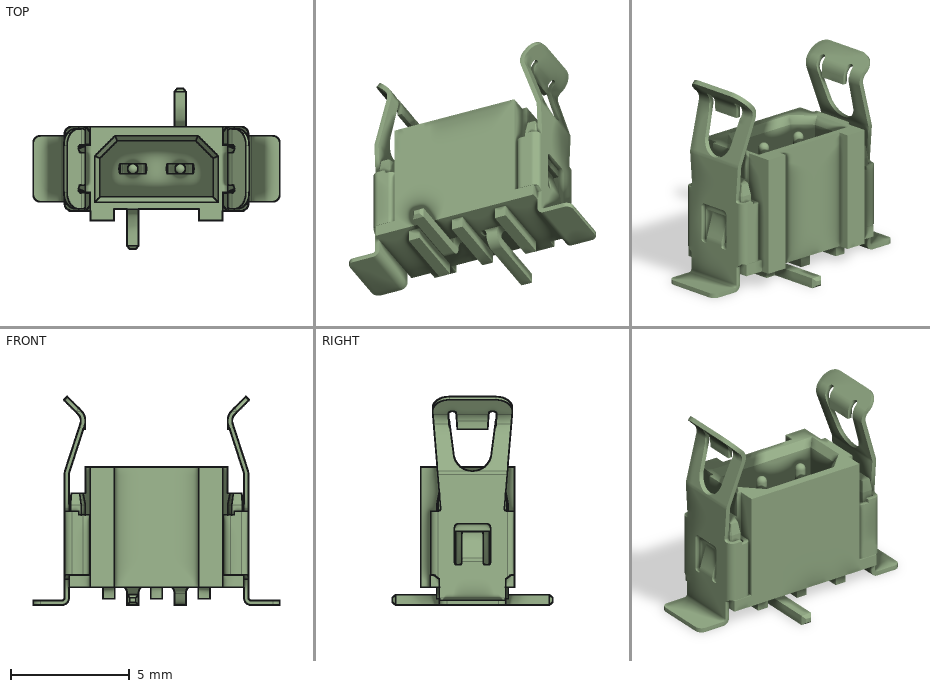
import cadquery as cq
import math


foot_reach = 5.2
total_height = 8.8
total_depth = 6.78

sheet = 0.2
clip_half_length = 3.88
bend_inside = 0.1
bend_mid = bend_inside + sheet / 2
foot_half_width = 1.4
foot_corner_radius = 0.31
lean_angle = 18.0
head_angle = 45.0
knee_z = 5.58
knee_radius = 0.41
neck_z = 7.91
neck_radius = 0.5
head_half_width = 1.69
head_corner_radius = 0.7
flare_half_width = 1.34
flare_end_z = 8.17
wing_fillet = 0.1

slot_top_z = 8.04
slot_length = 0.31
slot_outer = 1.01
slot_inner = 0.69
opening_half_width = 0.78
opening_side_z = 6.3
opening_bottom_z = 5.65
tab_bottom_z = 7.41
tab_bottom_half_width = 0.65

wing_half_width = 1.77
wing_bottom_z = 1.27
wing_top_z = 3.97
hook_outer_x = 2.81
hook_tip_y = 1.03
hook_top_z = 3.81
hook_step_x = 3.28
wing_root_z = 1.09
wing_slope_y = 1.63

window_half_width = 0.76
window_bottom_z = 1.71
window_top_z = 3.44
window_corner_radius = 0.18
window_slot_radius = 0.1
tongue_width = 0.9
tongue_root_z = 1.84
tongue_bend_z = 1.92
tongue_tip_z = 3.06

base_z = 0.75
top_z = 5.83
back_y = 1.78
front_y = -1.7
body_half_length = 3.0
post_outer_x = 2.79
post_inner_x = 1.79
post_front_y = -2.19
notch_y = 0.99
ledge_top_z = 1.25
ledge_half_width = 1.78
side_half_length = clip_half_length - sheet
side_half_width = 1.51
side_corner = 0.06
side_back_x = 3.18
side_taper_z = 4.23
side_top_z = 4.73
side_taper_angle = 11.0
latch_half_width = 0.7
latch_top_z = 3.12
latch_depth = 0.41

cavity_half_length = 2.38
cavity_back_y = 1.18
cavity_front_y = -1.19
cavity_corner = 0.73
cavity_floor_z = 1.75
rim_offset = 0.22
rim_depth = 0.34

peg_pitch = 2.01
peg_width = 0.5
peg_half_depth = 1.51
peg_bottom_z = 0.26

pin_x = 1.0
pin_thickness = 0.44
tail_width = 0.5
tail_bend_outside = 0.51
tail_tip_length = 0.15
tail_tip_angle = 40.0
blade_half_width = 0.53
blade_shoulder_radius = 0.09
blade_bottom_z = 0.81
blade_flare_radius = blade_half_width - tail_width / 2
pin_top_z = 5.62
pin_slot_half_length = 0.57
pin_slot_half_width = pin_thickness / 2


def box(x_min, x_max, y_min, y_max, z_min, z_max):
    """Axis-aligned block between the given limits."""
    size = (x_max - x_min, y_max - y_min, z_max - z_min)
    return cq.Workplane("XY").box(*size, centered=False).translate((x_min, y_min, z_min))


def bent_path(plane, corners, radii):
    """Open path through the corners, each inner corner rounded with its own radius."""
    path = cq.Workplane(plane).moveTo(*corners[0])
    for before, corner, after, radius in zip(corners, corners[1:], corners[2:], radii):
        corner = cq.Vector(*corner)
        to_before = (cq.Vector(*before) - corner).normalized()
        to_after = (cq.Vector(*after) - corner).normalized()
        half_angle = to_before.getAngle(to_after) / 2
        tangent = radius / math.tan(half_angle)
        arc_depth = radius / math.sin(half_angle) - radius
        start = corner + to_before * tangent
        middle = corner + (to_before + to_after).normalized() * arc_depth
        end = corner + to_after * tangent
        path = path.lineTo(start.x, start.y)
        path = path.threePointArc((middle.x, middle.y), (end.x, end.y))
    return path.lineTo(*corners[-1])


def across_sheet(outline):
    """Prism along X over the whole clip, from an outline in Y and Z."""
    return outline.extrude(-foot_reach)


lean_slope = math.tan(math.radians(lean_angle))
wall_mid_x = -(clip_half_length - sheet / 2)
neck_x = wall_mid_x + (neck_z - knee_z) * lean_slope
head_tip_z = total_height - sheet / 2 * math.cos(math.radians(head_angle))
head_tip_x = neck_x - (head_tip_z - neck_z) * math.tan(math.radians(head_angle))
head_tip = (head_tip_x, head_tip_z)


def clip_strip():
    """Foot, wall, arms and head as one bent strip, trimmed to its outline."""
    corners = [
        (-foot_reach, sheet / 2),
        (wall_mid_x, sheet / 2),
        (wall_mid_x, knee_z),
        (neck_x, neck_z),
        head_tip,
    ]
    path = bent_path("XZ", corners, [bend_mid, knee_radius, neck_radius])
    section = cq.Workplane("YZ", origin=(-foot_reach, 0, sheet / 2)).rect(2 * head_half_width, sheet)
    strip = section.sweep(path)
    strip = strip.edges("|(1,0,1)").fillet(head_corner_radius)
    fillet_depth = wing_fillet * (1 - math.sqrt(0.5))
    fillet_middle = (flare_half_width + fillet_depth, wing_top_z + fillet_depth)
    flare_start = (flare_half_width, wing_top_z + wing_fillet)
    half = (
        cq.Workplane("YZ")
        .lineTo(foot_half_width, 0)
        .lineTo(foot_half_width, wing_top_z)
        .lineTo(flare_half_width + wing_fillet, wing_top_z)
        .threePointArc(fillet_middle, flare_start)
        .lineTo(head_half_width, flare_end_z)
        .lineTo(head_half_width, total_height)
        .lineTo(0, total_height)
        .close()
    )
    half = across_sheet(half)
    strip = strip.intersect(half.union(half.mirror("XZ")))
    return strip.edges("|Z and <X").fillet(foot_corner_radius)


def clip_opening():
    """U-shaped opening between the arms."""
    outline = (
        cq.Workplane("YZ")
        .moveTo(opening_half_width, opening_side_z)
        .lineTo(slot_outer, slot_top_z)
        .lineTo(-slot_outer, slot_top_z)
        .lineTo(-opening_half_width, opening_side_z)
        .threePointArc((0, opening_bottom_z), (opening_half_width, opening_side_z))
        .close()
    )
    return across_sheet(outline)


def clip_slots():
    """Slot on each side of the tab, square to the head, with its round end where the bend starts."""
    to_bend_axis = neck_radius / math.cos(math.radians((head_angle + lean_angle) / 2))
    bisector = math.radians((head_angle - lean_angle) / 2)
    bend_axis = (neck_x - to_bend_axis * math.cos(bisector), 0, neck_z - to_bend_axis * math.sin(bisector))
    slot_radius = (slot_outer - slot_inner) / 2
    slot_y = (slot_outer + slot_inner) / 2
    head_plane = cq.Plane(bend_axis, xDir=(0, 1, 0), normal=(1, 0, 1))
    return (
        cq.Workplane(head_plane)
        .pushPoints([(-slot_y, -slot_length / 2), (slot_y, -slot_length / 2)])
        .slot2D(slot_length + 2 * slot_radius, 2 * slot_radius, 90)
        .extrude(neck_radius + sheet)
    )


def clip_tab():
    """Short tab that hangs from the head between the arms, on the same bend as the neck."""
    neck_tangent = math.tan(math.radians((head_angle + lean_angle) / 2))
    tab_tangent = math.tan(math.radians(head_angle / 2))
    slide = neck_radius * (neck_tangent - tab_tangent)
    tab_x = neck_x - slide * math.sin(math.radians(head_angle))
    tab_bend_z = neck_z + slide * math.cos(math.radians(head_angle))
    path = bent_path("XZ", [(tab_x, tab_bottom_z), (tab_x, tab_bend_z), head_tip], [neck_radius])
    section = cq.Workplane("XY", origin=(tab_x, 0, tab_bottom_z)).rect(sheet, 2 * slot_inner)
    outline = cq.Workplane("YZ").polyline([
        (-tab_bottom_half_width, tab_bottom_z),
        (tab_bottom_half_width, tab_bottom_z),
        (slot_inner, slot_top_z),
        (slot_inner, flare_end_z),
        (-slot_inner, flare_end_z),
        (-slot_inner, slot_top_z),
    ]).close()
    tab = section.sweep(path).intersect(across_sheet(outline))
    return tab


def clip_wings():
    """Sides that wrap around the housing's side block and hook in behind it."""
    wing_mid_y = wing_half_width - sheet / 2
    hook_mid_x = -(hook_outer_x + sheet / 2)
    corners = [
        (hook_mid_x, -hook_tip_y),
        (hook_mid_x, -wing_mid_y),
        (wall_mid_x, -wing_mid_y),
        (wall_mid_x, wing_mid_y),
        (hook_mid_x, wing_mid_y),
        (hook_mid_x, hook_tip_y),
    ]
    height = wing_top_z - wing_root_z
    section_centre = (hook_mid_x, -hook_tip_y, wing_root_z + height / 2)
    path = bent_path(cq.Plane((0, 0, section_centre[2])), corners, [bend_mid] * 4)
    wings = cq.Workplane("XZ", origin=section_centre).rect(sheet, height).sweep(path)
    half = [
        (foot_half_width, wing_root_z),
        (wing_slope_y, wing_bottom_z),
        (wing_half_width, wing_bottom_z),
        (wing_half_width, wing_top_z),
    ]
    other_half = [(-y, z) for y, z in reversed(half)]
    wings = wings.intersect(across_sheet(cq.Workplane("YZ").polyline(half + other_half).close()))
    step = box(-hook_step_x, 0, -wing_half_width, wing_half_width, hook_top_z, wing_top_z)
    return wings.cut(step).cut(housing_ledge())


def clip_window():
    """Window in the wall around the tongue."""
    window = box(-clip_half_length, -side_half_length,
                 -window_half_width, window_half_width, window_bottom_z, window_top_z)
    window = window.edges("|X and >Z").fillet(window_corner_radius)
    root = box(-clip_half_length, -side_half_length,
               -tongue_width / 2, tongue_width / 2, window_bottom_z, tongue_root_z)
    return window.cut(root).edges("|X and <Z").fillet(window_slot_radius)


def clip_tongue():
    """Locking tongue bent in from the wall."""
    tip_x = wall_mid_x + (tongue_tip_z - tongue_bend_z) * lean_slope
    corners = [(wall_mid_x, window_bottom_z), (wall_mid_x, tongue_bend_z), (tip_x, tongue_tip_z)]
    path = bent_path("XZ", corners, [knee_radius])
    section = cq.Workplane("XY", origin=(wall_mid_x, 0, window_bottom_z)).rect(sheet, tongue_width)
    return section.sweep(path)


def make_clip():
    clip = clip_strip().cut(clip_opening()).cut(clip_slots()).union(clip_tab())
    clip = clip.union(clip_wings()).cut(clip_window())
    return clip.union(clip_tongue())


def housing_ledge():
    """Ledge below the side block on -X."""
    return box(-side_half_length, -post_outer_x, -ledge_half_width, ledge_half_width, base_z, ledge_top_z)


def housing_body():
    """Main block with a notch down each corner and two posts on the front."""
    body = box(-post_outer_x, post_outer_x, front_y, back_y, base_z, top_z)
    body = body.union(box(-body_half_length, body_half_length, -notch_y, notch_y, base_z, top_z))
    post = box(post_inner_x, post_outer_x, post_front_y, front_y, base_z, top_z)
    return body.union(post).union(post.mirror("YZ"))


def side_block():
    """Side block on -X that the clip wraps around, tapered at its top, with the latch pocket."""
    half = [
        (-side_half_length, side_half_width - side_corner),
        (-side_half_length + side_corner, side_half_width),
        (-side_back_x, side_half_width),
        (-body_half_length, notch_y),
        (-post_outer_x, notch_y),
    ]
    other_half = [(x, -y) for x, y in reversed(half)]
    outline = half + other_half
    block = (
        cq.Workplane("XY", origin=(0, 0, ledge_top_z))
        .polyline(outline).close().extrude(side_taper_z - ledge_top_z)
    )
    crown = (
        cq.Workplane("XY", origin=(0, 0, side_taper_z))
        .polyline(outline).close().extrude(side_top_z - side_taper_z, taper=side_taper_angle)
    )
    neck = box(-side_back_x, -post_outer_x, -notch_y, notch_y, ledge_top_z, side_top_z)
    pocket = box(-side_half_length, latch_depth - side_half_length,
                 -latch_half_width, latch_half_width, window_bottom_z, latch_top_z)
    return block.union(crown).union(neck).cut(pocket)


def cavity_outline(z, offset):
    """Cavity outline at height z, grown outwards by the offset."""
    x = cavity_half_length
    outline = [
        (-x, cavity_front_y),
        (x, cavity_front_y),
        (x, cavity_back_y - cavity_corner),
        (x - cavity_corner, cavity_back_y),
        (-x + cavity_corner, cavity_back_y),
        (-x, cavity_back_y - cavity_corner),
    ]
    wires = cq.Workplane("XY", origin=(0, 0, z)).polyline(outline).close()
    return wires.offset2D(offset, "intersection") if offset else wires


def cavity():
    well = cavity_outline(cavity_floor_z, 0).extrude(top_z - cavity_floor_z)
    mouth_angle = math.degrees(math.atan(rim_offset / rim_depth))
    mouth = cavity_outline(top_z, rim_offset).extrude(-rim_depth, taper=mouth_angle)
    return well.union(mouth)


def pin_slots():
    """Slots through the cavity floor with slightly bowed ends."""
    slot = (
        cq.Workplane("XY", origin=(0, 0, base_z))
        .moveTo(-blade_half_width, -pin_slot_half_width)
        .lineTo(blade_half_width, -pin_slot_half_width)
        .threePointArc((pin_slot_half_length, 0), (blade_half_width, pin_slot_half_width))
        .lineTo(-blade_half_width, pin_slot_half_width)
        .threePointArc((-pin_slot_half_length, 0), (-blade_half_width, -pin_slot_half_width))
        .close().extrude(cavity_floor_z - base_z)
    )
    return slot.translate((-pin_x, 0, 0)).union(slot.translate((pin_x, 0, 0)))


def make_housing():
    side = housing_ledge().union(side_block())
    housing = housing_body().union(side).union(side.mirror("YZ"))
    for x in (-peg_pitch, 0, peg_pitch):
        peg = box(x - peg_width / 2, x + peg_width / 2, -peg_half_depth, peg_half_depth, peg_bottom_z, base_z)
        housing = housing.union(peg)
    return housing.cut(cavity()).cut(pin_slots())


def pin_blade():
    """Wide part held in the floor, flaring out from the tail."""
    flare_z = blade_bottom_z - blade_flare_radius
    diagonal = blade_flare_radius * math.sqrt(0.5)
    flare_middle_x = blade_half_width - diagonal
    flare_middle_z = flare_z + diagonal
    blade = (
        cq.Workplane("XZ", origin=(0, pin_thickness / 2, 0))
        .moveTo(-tail_width / 2, flare_z)
        .lineTo(tail_width / 2, flare_z)
        .threePointArc((flare_middle_x, flare_middle_z), (blade_half_width, blade_bottom_z))
        .lineTo(blade_half_width, cavity_floor_z)
        .lineTo(-blade_half_width, cavity_floor_z)
        .lineTo(-blade_half_width, blade_bottom_z)
        .threePointArc((-flare_middle_x, flare_middle_z), (-tail_width / 2, flare_z))
        .close().extrude(pin_thickness)
    )
    return blade.edges("|Y and >Z").fillet(blade_shoulder_radius)


def pin_tail():
    """Tail bent onto the board, with a tapered tip."""
    tail_z = pin_thickness / 2
    tip_start = total_depth / 2 - tail_tip_length
    corners = [(0, blade_bottom_z), (0, tail_z), (-tip_start, tail_z)]
    path = bent_path("YZ", corners, [tail_bend_outside - pin_thickness / 2])
    section = cq.Workplane("XY", origin=(0, 0, blade_bottom_z)).rect(tail_width, pin_thickness)
    tip = (
        cq.Workplane("XZ", origin=(0, -tip_start, tail_z))
        .rect(tail_width, pin_thickness).extrude(tail_tip_length, taper=tail_tip_angle)
    )
    return section.sweep(path).union(tip)


def make_pin():
    radius = pin_thickness / 2
    contact = cq.Workplane("XY", origin=(0, 0, blade_bottom_z)).circle(radius)
    contact = contact.extrude(pin_top_z - radius - blade_bottom_z)
    tip = cq.Workplane("XY", origin=(0, 0, pin_top_z - radius)).sphere(radius)
    pin = contact.union(tip).union(pin_blade()).union(pin_tail())
    return pin.translate((-pin_x, 0, 0))


housing = make_housing()

clips = []
pins = []
for turn in (0, 180):
    clips.append(make_clip().rotate((0, 0, 0), (0, 0, 1), turn))
    pins.append(make_pin().rotate((0, 0, 0), (0, 0, 1), turn))

result = cq.Compound.makeCompound([
    housing.val(),
    *[clip.val() for clip in clips],
    *[pin.val() for pin in pins],
])